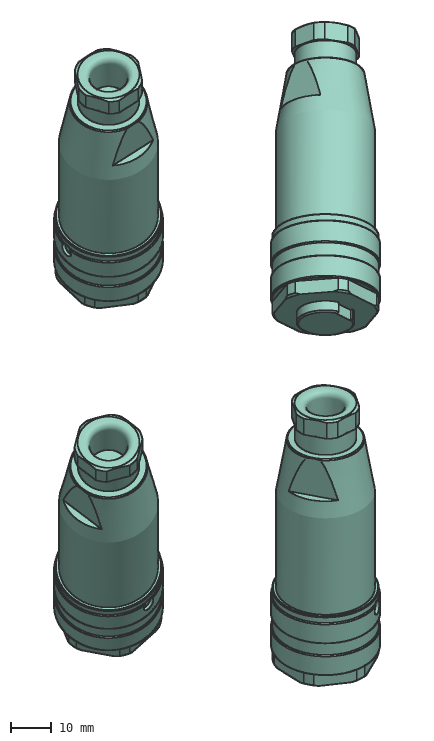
import cadquery as cq

TOTAL_HEIGHT = 78.4
LOWER_NUT_BOTTOM = 2.9
COLLAR_BOTTOM = 6.5
LOWER_BAND_TOP = 12.55
UPPER_BAND_BOTTOM = 15.9
UPPER_BAND_TOP = 22.0
COLLAR_TOP = 23.8
BODY_TOP = 52.4
WRENCH_FLAT_BOTTOM = 56.9
TAPER_TOP = 68.05
UPPER_NUT_BOTTOM = 73.4

BOSS_RADIUS = 7.1
COLLAR_RADIUS = 13.2
BAND_RADIUS = 13.5
BODY_RADIUS = 12.2
TAPER_TOP_RADIUS = 9.65
NECK_RADIUS = 7.6

BOSS_CHAMFER = 0.4
BAND_CHAMFER = BAND_RADIUS - COLLAR_RADIUS
COLLAR_CHAMFER = 0.2
TAPER_CHAMFER = 0.3

LOWER_NUT_FLATS = 24.0
LOWER_NUT_CORNER_RADIUS = COLLAR_RADIUS
LOWER_NUT_CHAMFER = 0.5
UPPER_NUT_FLATS = 15.8
UPPER_NUT_CORNER_RADIUS = 8.5
UPPER_NUT_CHAMFER_WIDTH = 0.9
UPPER_NUT_CHAMFER_HEIGHT = 0.3

WRENCH_FLATS_SPACING = 19.0

BORE_RADIUS = 4.7
BORE_MOUTH_ROUND = 1.65
BORE_DEPTH = TOTAL_HEIGHT - TAPER_TOP

MARK_RADIUS = 1.7
MARK_HEIGHT = 20.55
MARK_DEPTH = 0.95

KEY_WIDTH = 5.3
KEY_DEPTH = 1.25


def turned_body():
    """Revolve the boss, banded collar, body, taper and neck as one solid."""
    profile = [
        (0, 0),
        (BOSS_RADIUS - BOSS_CHAMFER, 0),
        (BOSS_RADIUS, BOSS_CHAMFER),
        (BOSS_RADIUS, COLLAR_BOTTOM),
        (BAND_RADIUS - BAND_CHAMFER, COLLAR_BOTTOM),
        (BAND_RADIUS, COLLAR_BOTTOM + BAND_CHAMFER),
        (BAND_RADIUS, LOWER_BAND_TOP - BAND_CHAMFER),
        (COLLAR_RADIUS, LOWER_BAND_TOP),
        (COLLAR_RADIUS, UPPER_BAND_BOTTOM),
        (BAND_RADIUS, UPPER_BAND_BOTTOM + BAND_CHAMFER),
        (BAND_RADIUS, UPPER_BAND_TOP - BAND_CHAMFER),
        (COLLAR_RADIUS, UPPER_BAND_TOP),
        (COLLAR_RADIUS, COLLAR_TOP - COLLAR_CHAMFER),
        (COLLAR_RADIUS - COLLAR_CHAMFER, COLLAR_TOP),
        (BODY_RADIUS, COLLAR_TOP),
        (BODY_RADIUS, BODY_TOP),
        (TAPER_TOP_RADIUS, TAPER_TOP - TAPER_CHAMFER),
        (TAPER_TOP_RADIUS - TAPER_CHAMFER, TAPER_TOP),
        (NECK_RADIUS, TAPER_TOP),
        (NECK_RADIUS, UPPER_NUT_BOTTOM),
        (0, UPPER_NUT_BOTTOM),
    ]
    return cq.Workplane("XZ").polyline(profile).close().revolve(360, (0, 0), (0, 1))


def hexagon(across_flats, bottom, height, turn):
    """Hexagonal prism; at zero turn one pair of flats faces +X and -X."""
    prism = cq.Workplane("XY").polygon(6, across_flats, circumscribed=True).extrude(height)
    return prism.rotate((0, 0, 0), (0, 0, 1), turn).translate((0, 0, bottom))


def lower_nut():
    """Nut under the collar, its corners turned and chamfered at the lower end."""
    height = COLLAR_BOTTOM - LOWER_NUT_BOTTOM
    blank = (
        cq.Workplane("XY", origin=(0, 0, LOWER_NUT_BOTTOM))
        .circle(LOWER_NUT_CORNER_RADIUS)
        .extrude(height)
        .faces("<Z")
        .chamfer(LOWER_NUT_CHAMFER)
    )
    return blank.intersect(hexagon(LOWER_NUT_FLATS, LOWER_NUT_BOTTOM, height, 90))


def upper_nut():
    """Nut at the cable end, its corners turned and chamfered at the top."""
    height = TOTAL_HEIGHT - UPPER_NUT_BOTTOM
    blank = (
        cq.Workplane("XY", origin=(0, 0, UPPER_NUT_BOTTOM))
        .circle(UPPER_NUT_CORNER_RADIUS)
        .extrude(height)
        .faces(">Z")
        .chamfer(UPPER_NUT_CHAMFER_HEIGHT, UPPER_NUT_CHAMFER_WIDTH)
    )
    return blank.intersect(hexagon(UPPER_NUT_FLATS, UPPER_NUT_BOTTOM, height, 0))


def wrench_flat(side):
    """Material removed from the taper on one X side (side is +1 or -1)."""
    thickness = BODY_RADIUS
    return cq.Workplane("XY").box(
        thickness, 2 * BODY_RADIUS, TAPER_TOP - WRENCH_FLAT_BOTTOM, centered=(True, True, False)
    ).translate((side * (WRENCH_FLATS_SPACING + thickness) / 2, 0, WRENCH_FLAT_BOTTOM))


def cable_bore():
    """Blind bore from the top whose mouth flares out along a quarter round."""
    mouth_radius = BORE_RADIUS + BORE_MOUTH_ROUND
    round_bottom = TOTAL_HEIGHT - BORE_MOUTH_ROUND
    floor = TOTAL_HEIGHT - BORE_DEPTH
    return (
        cq.Workplane("XZ")
        .moveTo(0, floor)
        .lineTo(BORE_RADIUS, floor)
        .lineTo(BORE_RADIUS, round_bottom)
        .radiusArc((mouth_radius, TOTAL_HEIGHT), BORE_MOUTH_ROUND)
        .lineTo(0, TOTAL_HEIGHT)
        .close()
        .revolve(360, (0, 0), (0, 1))
    )


def index_mark():
    """Radial pin-shaped cutter with a floor that follows the collar."""
    pin = (
        cq.Workplane("XZ", origin=(0, 0, MARK_HEIGHT))
        .circle(MARK_RADIUS)
        .extrude(BAND_RADIUS)
    )
    core = cq.Workplane("XY").circle(BAND_RADIUS - MARK_DEPTH).extrude(TOTAL_HEIGHT)
    return pin.cut(core)


def key_groove():
    """Straight groove along the boss, ending at the lower nut."""
    return cq.Workplane("XY").box(
        KEY_WIDTH, 2 * KEY_DEPTH, LOWER_NUT_BOTTOM, centered=(True, True, False)
    ).translate((0, BOSS_RADIUS, 0))


result = turned_body().union(lower_nut()).union(upper_nut())
for flat_side in (-1, 1):
    result = result.cut(wrench_flat(flat_side))
result = result.cut(cable_bore()).cut(index_mark()).cut(key_groove())